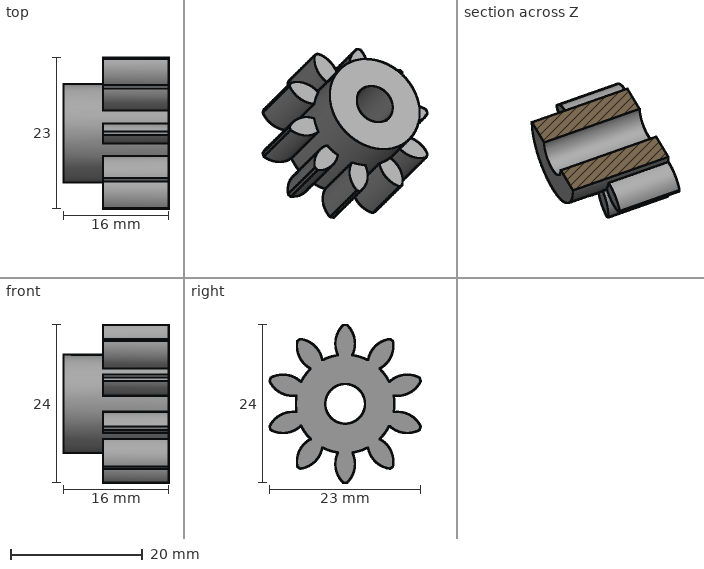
import cadquery as cq
import math

tooth_count = 10
tip_radius = 12.0
hub_radius = 15.0 / 2
bore_radius = 3.0
hub_length = 6.0
face_width = 10.0

tip_half_width = 0.3
widest_half_width = 1.5
widest_radius = 9.15
root_overlap = 0.48

tip_corner_height = math.sqrt(tip_radius**2 - tip_half_width**2)
tip_rise = tip_corner_height - widest_radius
tip_inset = widest_half_width - tip_half_width
flank_radius = (tip_rise**2 + tip_inset**2) / (2 * tip_inset)

base_height = hub_radius - root_overlap
base_drop = widest_radius - base_height
flank_center_offset = flank_radius - widest_half_width
base_half_width = math.sqrt(flank_radius**2 - base_drop**2) - flank_center_offset


def make_body():
    """Hub and gear core as one cylinder centred on the X axis."""
    return cq.Workplane("YZ").circle(hub_radius).extrude(hub_length + face_width)


def make_tooth():
    """Tooth pointing along +Z, at the +X end of the body."""
    return (
        cq.Workplane("YZ", origin=(hub_length, 0, 0))
        .moveTo(-base_half_width, base_height)
        .threePointArc((-widest_half_width, widest_radius), (-tip_half_width, tip_corner_height))
        .threePointArc((0, tip_radius), (tip_half_width, tip_corner_height))
        .threePointArc((widest_half_width, widest_radius), (base_half_width, base_height))
        .close()
        .extrude(face_width)
    )


def make_bore():
    """Through hole along the axis."""
    return cq.Workplane("YZ").circle(bore_radius).extrude(hub_length + face_width)


result = make_body()
tooth = make_tooth()
for index in range(tooth_count):
    angle = index * 360 / tooth_count
    result = result.union(tooth.rotate((0, 0, 0), (1, 0, 0), angle))
result = result.cut(make_bore())